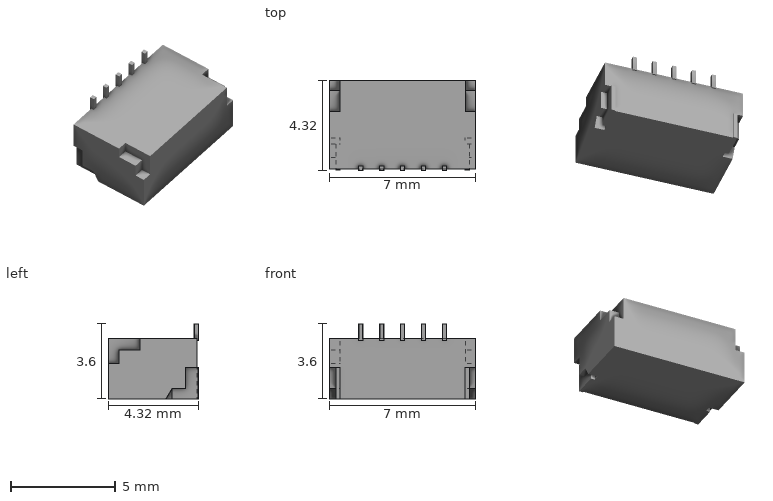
import cadquery as cq

housing_width = 7.0
housing_depth = 4.25
housing_height = 2.9
half_width = housing_width / 2

overall_height = 3.6
pin_count = 5
pin_pitch = 1.0
pin_width = 0.2
pin_thickness = 0.22
pin_overhang = 0.07
pin_foot_z = 2.8

notch_width = 0.5
notch_length = 1.5
notch_depth = 0.55
notch_step_length = 0.5
notch_step_depth = 1.2

recess_inset = 0.3
recess_depth = 0.55
recess_height = 1.5
foot_depth = 1.2
foot_height = 0.5
foot_slope_depth = 1.5
tab_thickness = 0.2
tab_overhang = 0.05


def side_prism(profile, inner_x, outer_x):
    """Extrude a closed (Y, Z) outline along X between two planes."""
    return cq.Workplane("YZ", origin=(inner_x, 0, 0)).polyline(profile).close().extrude(outer_x - inner_x)


def on_both_sides(right_solid):
    """Return the solid together with its mirror image across the YZ plane."""
    return right_solid.union(right_solid.mirror("YZ"))


def rear_notch():
    notch_profile = [
        (housing_depth, housing_height),
        (housing_depth - notch_length, housing_height),
        (housing_depth - notch_length, housing_height - notch_depth),
        (housing_depth - notch_step_length, housing_height - notch_depth),
        (housing_depth - notch_step_length, housing_height - notch_step_depth),
        (housing_depth, housing_height - notch_step_depth),
    ]
    return side_prism(notch_profile, half_width - notch_width, half_width)


def corner_profile(front_y, foot_end_y):
    """L-shaped (Y, Z) outline shared by the recess and the tab."""
    return [
        (front_y, 0),
        (foot_end_y, 0),
        (foot_depth, foot_height),
        (recess_depth, foot_height),
        (recess_depth, recess_height),
        (front_y, recess_height),
    ]


def corner_recess():
    recess_inner_x = half_width - recess_inset - tab_thickness
    return side_prism(corner_profile(0, foot_slope_depth), recess_inner_x, half_width)


def corner_tab():
    tab_outer_x = half_width - recess_inset
    return side_prism(corner_profile(-tab_overhang, foot_depth), tab_outer_x - tab_thickness, tab_outer_x)


def contact_pins():
    pin_height = overall_height - pin_foot_z
    pin_center = (0, pin_thickness / 2 - pin_overhang, pin_foot_z + pin_height / 2)
    return (
        cq.Workplane("XY", origin=pin_center)
        .rarray(pin_pitch, 0.07, pin_count, 1)
        .box(pin_width, pin_thickness, pin_height)
    )


housing = cq.Workplane("XY").box(housing_width, housing_depth, housing_height, centered=(True, False, False))

result = (
    housing.cut(on_both_sides(rear_notch()))
    .cut(on_both_sides(corner_recess()))
    .union(on_both_sides(corner_tab()))
    .union(contact_pins())
)